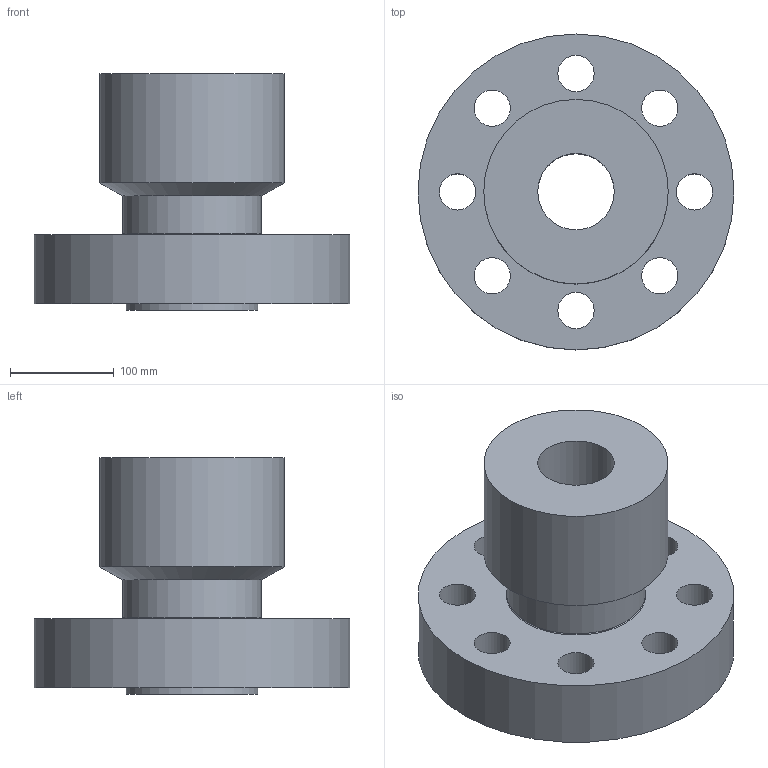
import cadquery as cq

total_height = 228.6
raised_face_height = 6.4
flange_thickness = 66.7
hub_height = 105.5
cone_height = 12.5

flange_diameter = 304.8
raised_face_diameter = 127.0
neck_diameter = 133.35
hub_diameter = 178.0
bore_diameter = 73.7

neck_fillet_radius = 0.8

bolt_count = 8
bolt_circle_diameter = 228.6
bolt_hole_diameter = 35.0

flange_top = raised_face_height + flange_thickness
hub_bottom = total_height - hub_height
cone_bottom = hub_bottom - cone_height


def make_body():
    """Solid of revolution: raised face, flange, neck, cone and hub."""
    profile = (
        cq.Workplane("XZ")
        .moveTo(0, 0)
        .lineTo(raised_face_diameter / 2, 0)
        .lineTo(raised_face_diameter / 2, raised_face_height)
        .lineTo(flange_diameter / 2, raised_face_height)
        .lineTo(flange_diameter / 2, flange_top)
        .lineTo(neck_diameter / 2 + neck_fillet_radius, flange_top)
        .tangentArcPoint((-neck_fillet_radius, neck_fillet_radius))
        .lineTo(neck_diameter / 2, cone_bottom)
        .lineTo(hub_diameter / 2, hub_bottom)
        .lineTo(hub_diameter / 2, total_height)
        .lineTo(0, total_height)
        .close()
    )
    return profile.revolve(360, (0, 0, 0), (0, 1, 0))


def make_bore():
    """Straight bore through the full height."""
    return cq.Workplane("XY").circle(bore_diameter / 2).extrude(total_height)


def make_bolt_holes():
    """Ring of bolt holes through the flange, the first one on the X axis."""
    return (
        cq.Workplane("XY")
        .workplane(offset=raised_face_height)
        .polarArray(bolt_circle_diameter / 2, 0, 360, bolt_count)
        .circle(bolt_hole_diameter / 2)
        .extrude(flange_thickness)
    )


result = make_body().cut(make_bore()).cut(make_bolt_holes())